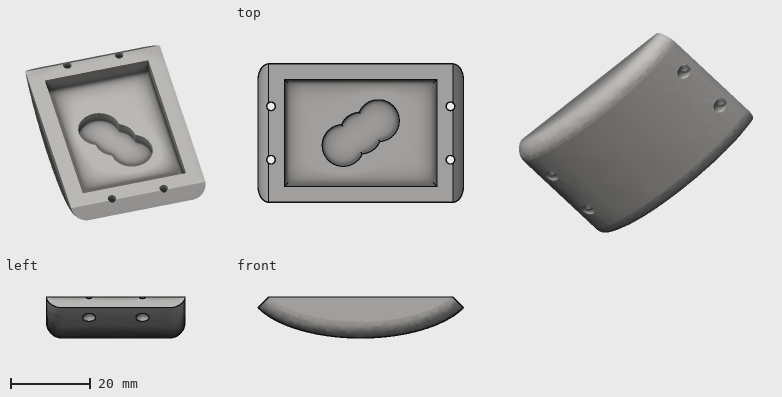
import cadquery as cq
import math

length = 51.57
width = 34.8
height = 10.32
top_length = 46.2
end_drop = 2.7
edge_radius = 4.0

wall = 4.0
pocket_length = top_length - 2 * wall
pocket_width = width - 2 * wall
pocket_depth = 5.1
pocket_floor_radius = 1.0

recess_radius = 5.25
recess_pitch = 5.4
recess_depth = 3.2
recess_floor_radius = 0.5
recess_angle = math.atan2(pocket_width, pocket_length)

hole_diameter = 2.1
counterbore_diameter = 3.3
counterbore_top = -3.0
hole_spacing_x = 45.0
hole_spacing_y = 13.4

ellipse_half_height = 13.1
ellipse_center_z = ellipse_half_height - height
corner_ratio = (ellipse_center_z + end_drop) / ellipse_half_height
ellipse_half_length = (length / 2) / math.sqrt(1 - corner_ratio**2)


def make_body():
    """Elliptical cylinder with rounded rims, trimmed to the flat top and the sloped ends."""
    cylinder = (
        cq.Workplane("XZ", origin=(0, width / 2, 0))
        .center(0, ellipse_center_z)
        .ellipse(ellipse_half_length, ellipse_half_height)
        .extrude(width)
        .edges()
        .fillet(edge_radius)
    )
    envelope = (
        cq.Workplane("XZ", origin=(0, width / 2, 0))
        .moveTo(-top_length / 2, 0)
        .lineTo(top_length / 2, 0)
        .lineTo(length / 2, -end_drop)
        .lineTo(length / 2, -height)
        .lineTo(-length / 2, -height)
        .lineTo(-length / 2, -end_drop)
        .close()
        .extrude(width)
    )
    return cylinder.intersect(envelope)


def make_pocket():
    """Rectangular pocket volume with a rounded floor edge."""
    return (
        cq.Workplane("XY")
        .rect(pocket_length, pocket_width)
        .extrude(-pocket_depth)
        .faces("<Z")
        .edges()
        .fillet(pocket_floor_radius)
    )


def make_recess():
    """Three round pockets in a row, each with a rounded floor edge."""
    step_x = recess_pitch * math.cos(recess_angle)
    step_y = recess_pitch * math.sin(recess_angle)
    recess = cq.Workplane("XY")
    for step in (-1, 0, 1):
        circle = (
            cq.Workplane("XY", origin=(step * step_x, step * step_y, -pocket_depth))
            .circle(recess_radius)
            .extrude(-recess_depth)
            .faces("<Z")
            .edges()
            .fillet(recess_floor_radius)
        )
        recess = recess.union(circle)
    return recess


def make_hole_pattern(diameter, top_z):
    """Four vertical cylinders running down from top_z past the underside."""
    return (
        cq.Workplane("XY", origin=(0, 0, top_z))
        .rect(hole_spacing_x, hole_spacing_y, forConstruction=True)
        .vertices()
        .circle(diameter / 2)
        .extrude(-height)
    )


through_holes = make_hole_pattern(hole_diameter, 0)
counterbores = make_hole_pattern(counterbore_diameter, counterbore_top)

result = make_body().cut(make_pocket()).cut(make_recess()).cut(through_holes).cut(counterbores)